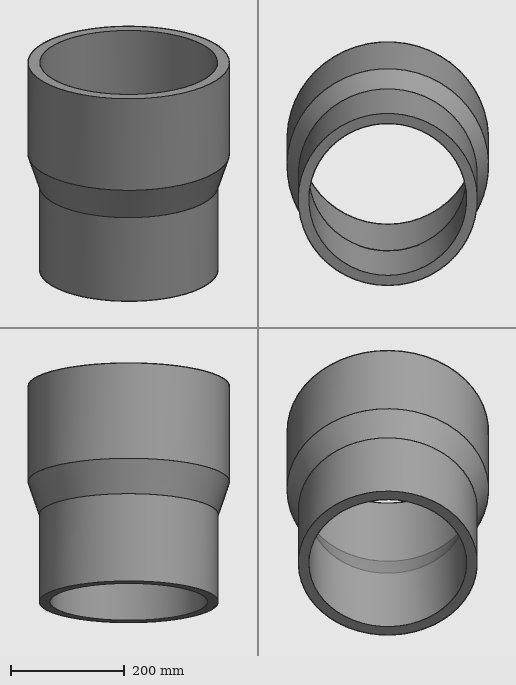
import cadquery as cq

total_height = 390.0
socket_length = 172.8
spigot_length = 158.0

socket_outer_radius = 177.5
socket_wall = 21.0
spigot_outer_radius = 157.5
spigot_wall = 18.7

socket_inner_radius = socket_outer_radius - socket_wall
spigot_inner_radius = spigot_outer_radius - spigot_wall
cone_top = total_height - socket_length

wall_section = (
    cq.Workplane("XZ")
    .moveTo(spigot_inner_radius, 0)
    .lineTo(spigot_outer_radius, 0)
    .lineTo(spigot_outer_radius, spigot_length)
    .lineTo(socket_outer_radius, cone_top)
    .lineTo(socket_outer_radius, total_height)
    .lineTo(socket_inner_radius, total_height)
    .lineTo(socket_inner_radius, cone_top)
    .lineTo(spigot_inner_radius, spigot_length)
    .close()
)

result = wall_section.revolve(360, (0, 0, 0), (0, 1, 0))